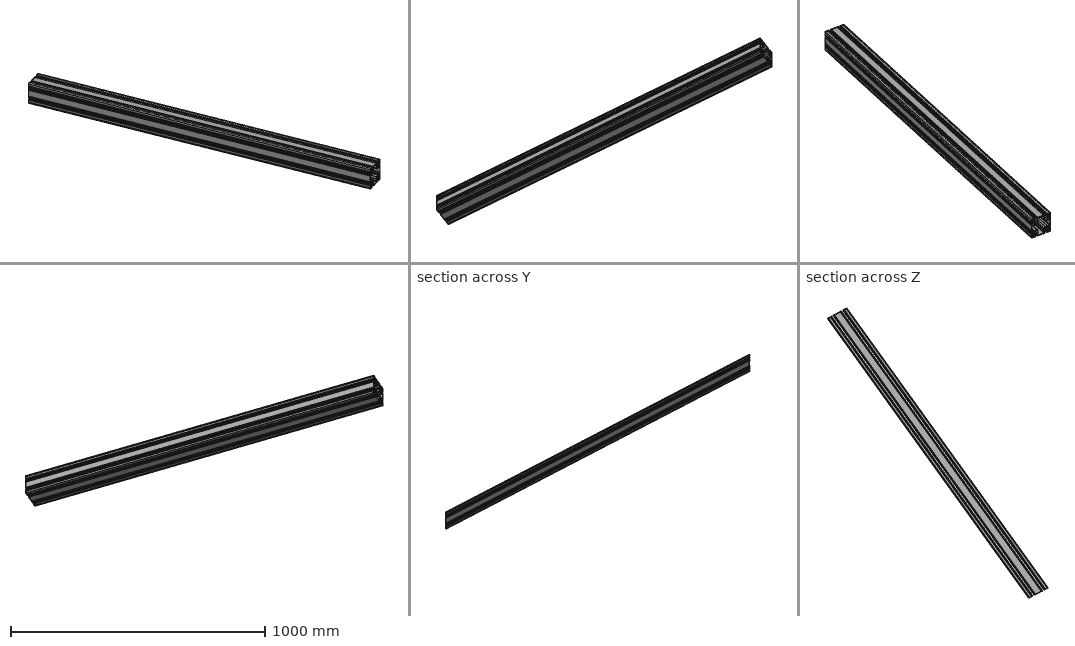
import cadquery as cq

length = 1500.0
side = 90.0
half_side = side / 2
outer_corner_radius = 2.5

module = side / 2
module_centre = module / 2
core_hole_diameter = 11.7

slot_mouth = 9.0
slot_opening = 8.2
lip_chamfer = (slot_mouth - slot_opening) / 2
lip_depth = 5.0
chamber_width = 14.0
slot_depth = 14.2

outer_wall = 3.2
cross_half_width = 13.6
block_corner_chamfer = 5.2

cell_wall = 3.8
cell_size = 9.2

section_plane = cq.Workplane("YZ")


def extrude_section(section):
    """Run a section along the full length, centred on the origin."""
    return section.extrude(length / 2, both=True)


def four_points(spacing):
    """Workplane points at the corners of a centred square."""
    return section_plane.rect(spacing, spacing, forConstruction=True).vertices()


def outer_body():
    return extrude_section(section_plane.rect(side, side)).edges("|X").fillet(outer_corner_radius)


def cross_cavity():
    """Cross-shaped hollow that cuts a chamfer on the inner corner of each block."""
    arm_end = half_side - outer_wall
    chamfer_end = cross_half_width + block_corner_chamfer
    quadrant = [
        (arm_end, cross_half_width),
        (chamfer_end, cross_half_width),
        (cross_half_width, chamfer_end),
        (cross_half_width, arm_end),
    ]
    outline = []
    for _ in range(4):
        outline += quadrant
        quadrant = [(-z, y) for y, z in quadrant]
    return extrude_section(section_plane.polyline(outline).close())


def core_holes():
    return extrude_section(four_points(module).circle(core_hole_diameter / 2))


def corner_cells():
    spacing = side - 2 * cell_wall - cell_size
    return extrude_section(four_points(spacing).rect(cell_size, cell_size))


def top_slot(centre):
    """T-slot entering the top face at the given Y position."""
    half_outline = [
        (slot_mouth / 2, 0),
        (slot_opening / 2, lip_chamfer),
        (slot_opening / 2, lip_depth - lip_chamfer),
        (slot_mouth / 2, lip_depth),
        (chamber_width / 2, lip_depth),
        (chamber_width / 2, slot_depth),
    ]
    right = [(centre + offset, half_side - depth) for offset, depth in half_outline]
    left = [(centre - offset, half_side - depth) for offset, depth in reversed(half_outline)]
    return extrude_section(section_plane.polyline(right + left).close())


profile = outer_body().cut(cross_cavity()).cut(core_holes()).cut(corner_cells())

for face_angle in (0, 90, 180, 270):
    for slot_centre in (-module_centre, module_centre):
        slot = top_slot(slot_centre).rotate((0, 0, 0), (1, 0, 0), face_angle)
        profile = profile.cut(slot)

result = profile